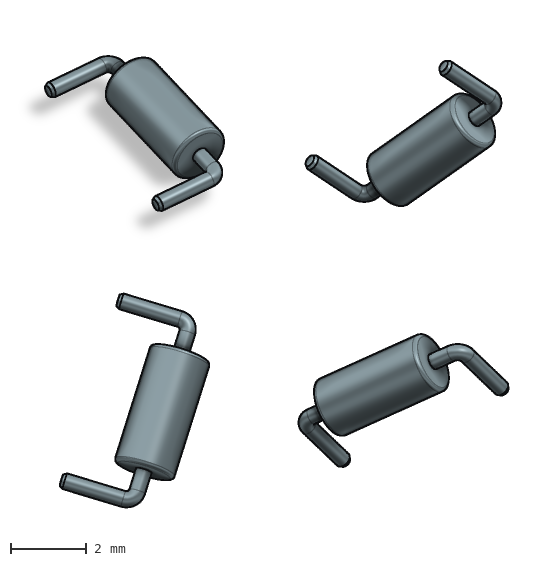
import cadquery as cq

body_length = 3.295
body_diameter = 1.65
body_edge_radius = 0.1

lead_span = 5.51
lead_diameter = 0.435
lead_bend_radius = 0.3
lead_reach = 2.005
tip_chamfer_length = 0.1
tip_chamfer_depth = 0.055

lead_radius = lead_diameter / 2
lead_axis_x = lead_span / 2 - lead_radius
bend_start_x = lead_axis_x - lead_bend_radius


def make_body():
    body = cq.Workplane("YZ", origin=(-body_length / 2, 0, 0)).circle(body_diameter / 2).extrude(body_length)
    return body.faces("<X or >X").edges().fillet(body_edge_radius)


def make_lead():
    """Lead on the +X side, starting inside the body at its centre."""
    inner_run = cq.Workplane("YZ").circle(lead_radius).extrude(bend_start_x)
    bend = (
        cq.Workplane("YZ", origin=(bend_start_x, 0, 0))
        .circle(lead_radius)
        .revolve(90, (-lead_bend_radius, 0.055, 0), (-lead_bend_radius, 0, 0))
    )
    leg = (
        cq.Workplane("XZ", origin=(lead_axis_x, -lead_bend_radius, 0))
        .circle(lead_radius)
        .extrude(lead_reach - lead_bend_radius)
    )
    tip_start_y = -lead_reach + tip_chamfer_length
    tip_envelope = (
        cq.Workplane("XY", origin=(lead_axis_x, 0, 0))
        .moveTo(0, -lead_bend_radius)
        .lineTo(lead_radius, -lead_bend_radius)
        .lineTo(lead_radius, tip_start_y)
        .lineTo(lead_radius - tip_chamfer_depth, -lead_reach)
        .lineTo(0, -lead_reach)
        .close()
        .revolve(360, (0, 0, 0), (0, 1, 0))
    )
    return inner_run.union(bend).union(leg.intersect(tip_envelope))


right_lead = make_lead()
left_lead = right_lead.mirror("YZ")
result = make_body().union(right_lead).union(left_lead)